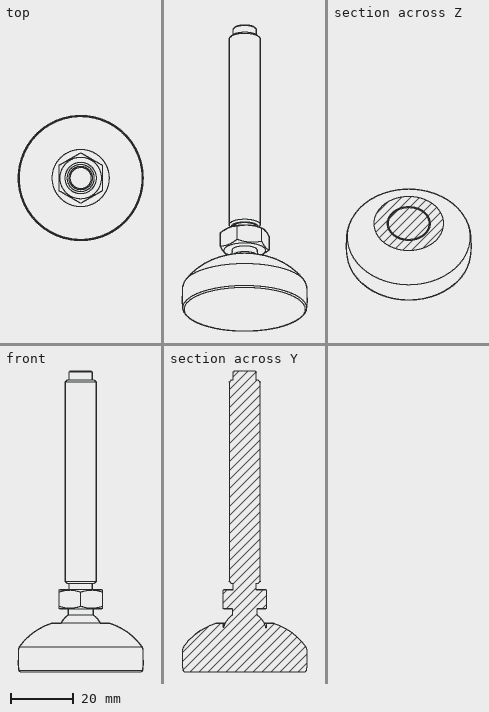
import cadquery as cq
import math

foot_radius = 20.0
foot_bottom_chamfer = 0.5
base_radius = 19.8
seam_z = 2.6
rim_radius = 19.9
rim_z = 7.2
dome_start_radius = 19.6
dome_start_z = 8.1
dome_bulge_radius = 15.2
dome_bulge_z = 12.6
dome_top_radius = 9.1
dome_top_z = 15.7

ball_radius = 14.0 / 2
ball_center_z = 12.5
recess_radius = 13.7 / 2

lower_neck_radius = 8.1 / 2
upper_neck_radius = 7.5 / 2
tip_radius = 7.5 / 2
tip_chamfer = 0.4
stud_radius = 10.0 / 2
stud_chamfer = 0.7
stud_bottom_z = 28.3
stud_top_z = 93.3
spindle_top_z = 96.2

hex_across_flats = 13.95
hex_face_radius = 13.3 / 2
hex_bottom_z = 20.2
hex_top_z = 26.4
hex_chamfer_angle = 30


def cylinder(radius, bottom_z, top_z):
    return cq.Workplane("XY").workplane(offset=bottom_z).circle(radius).extrude(top_z - bottom_z)


def make_foot():
    profile = (
        cq.Workplane("XZ")
        .moveTo(0, 0)
        .lineTo(base_radius - foot_bottom_chamfer, 0)
        .lineTo(base_radius, foot_bottom_chamfer)
        .lineTo(foot_radius, seam_z)
        .lineTo(rim_radius, rim_z)
        .lineTo(dome_start_radius, dome_start_z)
        .threePointArc((dome_bulge_radius, dome_bulge_z), (dome_top_radius, dome_top_z))
        .lineTo(0, dome_top_z)
        .close()
    )
    foot = profile.revolve(360, (0, 0, 0), (0, 1, 0))
    recess_floor_z = ball_center_z + math.sqrt(ball_radius**2 - recess_radius**2)
    return foot.cut(cylinder(recess_radius, recess_floor_z, dome_top_z))


def make_hexagon():
    corner_radius = hex_across_flats / 2 / math.cos(math.pi / 6)
    height = hex_top_z - hex_bottom_z
    prism = (
        cq.Workplane("XY")
        .workplane(offset=hex_bottom_z)
        .transformed(rotate=(0, 0, 90))
        .polygon(6, 2 * corner_radius)
        .extrude(height)
    )
    chamfer_width = corner_radius - hex_face_radius
    chamfer_height = chamfer_width * math.tan(math.radians(hex_chamfer_angle))
    trimmer = (
        cq.Workplane("XZ")
        .moveTo(0, hex_bottom_z)
        .lineTo(hex_face_radius, hex_bottom_z)
        .lineTo(corner_radius, hex_bottom_z + chamfer_height)
        .lineTo(corner_radius, hex_top_z - chamfer_height)
        .lineTo(hex_face_radius, hex_top_z)
        .lineTo(0, hex_top_z)
        .close()
        .revolve(360, (0, 0, 0), (0, 1, 0))
    )
    return prism.intersect(trimmer)


def make_spindle():
    ball = cq.Workplane("XY").sphere(ball_radius).translate((0, 0, ball_center_z))
    lower_neck = cylinder(lower_neck_radius, ball_center_z, hex_bottom_z)
    upper_neck = cylinder(upper_neck_radius, hex_top_z, stud_bottom_z)
    stud = cylinder(stud_radius, stud_bottom_z, stud_top_z).edges("%CIRCLE").chamfer(stud_chamfer)
    tip = cylinder(tip_radius, stud_top_z, spindle_top_z).faces(">Z").edges().chamfer(tip_chamfer)
    return ball.union(lower_neck).union(make_hexagon()).union(upper_neck).union(stud).union(tip)


result = make_foot().union(make_spindle())